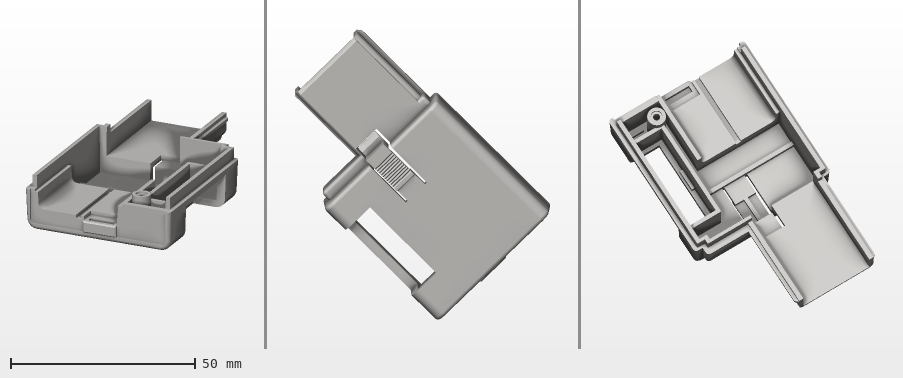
import cadquery as cq
import math

rim_z = 11.6
lip_z = 14.95
floor_z = 1.65
ledge_z = 10.9
channel_z = 6.1
tongue_z = 6.6
tongue_under_z = 5.0
tongue_wall_z = 12.6
cut_top_z = 20.0

box_width = 43.41
box_front_y = 0.15
box_back_y = 44.75
draft_angle = 1.9
side_radius = 2.9
end_radius = 1.0

lip_x0, lip_x1 = 1.2, 42.21
lip_thickness = 1.2
lip_front_y = 2.7
lip_back_y = 44.0
lip_back_thickness = 0.9
neck_lip_back_y = 45.5

tongue_mid_x = 15.15
tongue_end_y = 71.85
tongue_inner_half = 10.55
tongue_wall_half = 11.85
flange_half = 12.83
flange_thickness = 0.9
keel_height = 1.0
keel_setback = 1.2
tongue_curve_height = 1.9
tongue_chamfer = 1.0
keel_chamfer = 0.99

neck_x0, neck_x1 = tongue_mid_x - flange_half, 41.0
neck_back_y = 47.35
neck_lip_x1 = 39.8
cavity_back_y = lip_back_y - lip_back_thickness
shelf_front_y = 42.85

channel_mid_x = 15.55
channel_floor_half = 11.75
channel_top_half = 11.95
channel_radius = 1.7
channel_open_x0, channel_open_x1 = 2.64, 28.75
channel_back_y = 22.5
groove_x0, groove_x1 = 14.9, 16.4
groove_depth = 1.0

recess_margin = 1.5
recess_y = 0.95
recess_bottom_z = 1.7
recess_radius = 1.2
tab_x0, tab_x1 = 17.28, 27.22
tab_back_y = 5.45
tab_top_z = 5.0
tab_chamfer = 0.35
tab_slot_x0, tab_slot_x1 = 18.37, 25.95
tab_slot_y0, tab_slot_y1 = 1.4, 3.3
tab_slot_depth = 1.4

rib_y0, rib_y1 = 29.1, 30.25
rib_z = 3.1

latch_slot_x0 = 17.75
latch_slot_x1 = tongue_mid_x + tongue_inner_half
latch_slot_end_y = 49.7
latch_x0, latch_x1 = 18.5, 25.05
latch_end_y = 49.55
post_front_y, post_back_y = 44.3, 46.3
latch_top_z = 5.3
hook_under_z = 4.6
barb_y, barb_z = 47.9, 4.0
pad_back_y = 36.0
arm_top_z = 0.4
grip_front_y = 34.2
grip_z = -0.9
grip_radius = 0.4
stiffener_x0, stiffener_x1 = 21.15, 22.3
stiffener_radius = 1.6
tooth_count = 10
tooth_pitch = 0.75
tooth_depth = 0.55
teeth_front_y = 35.5

frame_x0 = 31.06
frame_y0, frame_y1 = 8.5, 38.35
frame_thickness = 1.1
window_x0 = 33.6
window_y0, window_y1 = 10.65, 36.2
window_top_z = 9.8
snap_y0, snap_y1 = 20.3, 26.5
snap_width = 0.9
snap_z = 3.0

boss_x, boss_y = 31.9, 6.6
boss_radius = 2.55
boss_z = 13.1
boss_counterbore_radius = 1.6
boss_counterbore_depth = 0.6
boss_hole_radius = 0.95
boss_hole_bottom_z = 3.0

bar_x0 = 35.0
bar_y0, bar_y1 = 4.0, 5.2
bar_z = 3.0
notch_y0, notch_y1 = 37.9, 42.0
notch_top_z = 13.5
notch_depth = 0.7
wall_overlap = 0.6


def block(x0, x1, y0, y1, z0, z1):
    return cq.Workplane("XY").box(x1 - x0, y1 - y0, z1 - z0, centered=False).translate((x0, y0, z0))


def drafted_block(x0, x1, y0, y1, z0, z1):
    """Block whose given plan size is at the top and whose walls lean in going down."""
    inset = (z1 - z0) * math.tan(math.radians(draft_angle))
    return (
        cq.Workplane("XY", origin=((x0 + x1) / 2, (y0 + y1) / 2, z0))
        .rect(x1 - x0 - 2 * inset, y1 - y0 - 2 * inset)
        .workplane(offset=z1 - z0)
        .rect(x1 - x0, y1 - y0)
        .loft(ruled=True)
    )


def extrude_along_y(points, y0, y1):
    """Extrude an XZ outline from y0 to y1."""
    return cq.Workplane("XZ", origin=(0, y0, 0)).polyline(points).close().extrude(y0 - y1)


def extrude_along_x(points, x0, x1):
    """Extrude a YZ outline from x0 to x1."""
    return cq.Workplane("YZ", origin=(x0, 0, 0)).polyline(points).close().extrude(x1 - x0)


def make_box():
    box = drafted_block(0, box_width, box_front_y, box_back_y, 0, rim_z)
    box = box.faces("<Z").edges("|Y").fillet(side_radius)
    return box.faces("<Z").edges("|X").fillet(end_radius)


def make_neck():
    neck = block(neck_x0, neck_x1, cavity_back_y - 1, neck_back_y, tongue_under_z, rim_z)
    neck = neck.edges("|Z and >Y").fillet(end_radius)
    return neck.faces("<Z").edges(">Y").fillet(end_radius)


def make_lip():
    inner_x0 = tongue_mid_x - tongue_wall_half
    main = block(lip_x0, lip_x1, lip_front_y, lip_back_y, floor_z, lip_z)
    neck = block(inner_x0, neck_lip_x1, lip_back_y - 1, neck_lip_back_y, tongue_z, lip_z)
    return main.union(neck)


def make_tongue():
    keel_top = tongue_under_z + keel_height
    keel_half = tongue_wall_half - keel_setback
    arc_top = keel_top + tongue_curve_height
    arc_radius = (keel_setback ** 2 + tongue_curve_height ** 2) / (2 * keel_setback)
    half_angle = math.asin(tongue_curve_height / arc_radius) / 2
    mid_inset = arc_radius * (1 - math.cos(half_angle))
    mid_z = arc_top - arc_radius * math.sin(half_angle)
    right = tongue_mid_x + tongue_wall_half
    left = tongue_mid_x - tongue_wall_half
    y0 = shelf_front_y
    tongue = (
        cq.Workplane("XZ", origin=(0, y0, 0))
        .moveTo(tongue_mid_x - keel_half, tongue_under_z)
        .lineTo(tongue_mid_x + keel_half, tongue_under_z)
        .lineTo(tongue_mid_x + keel_half, keel_top)
        .threePointArc((right - mid_inset, mid_z), (right, arc_top))
        .lineTo(right, tongue_wall_z)
        .lineTo(left, tongue_wall_z)
        .lineTo(left, arc_top)
        .threePointArc((left + mid_inset, mid_z), (tongue_mid_x - keel_half, keel_top))
        .close()
        .extrude(y0 - tongue_end_y)
    )
    tongue = tongue.faces("<Z").edges(">Y").chamfer(keel_chamfer)
    flange = block(
        tongue_mid_x - flange_half, tongue_mid_x + flange_half,
        y0, tongue_end_y, rim_z - flange_thickness, rim_z,
    )
    return tongue.union(flange.edges("|Z and >Y").chamfer(tongue_chamfer))


def cut_cavity(body):
    lip_lean = (lip_z - rim_z) * math.tan(math.radians(draft_angle))
    cavity = drafted_block(
        lip_x0 + lip_thickness, lip_x1 - lip_thickness,
        lip_front_y - lip_lean, cavity_back_y, floor_z, lip_z,
    )
    tongue_x0 = tongue_mid_x - tongue_inner_half
    tongue_x1 = tongue_mid_x + tongue_inner_half
    tongue_channel = block(tongue_x0, tongue_x1, shelf_front_y - 1, tongue_end_y, tongue_z, cut_top_z)
    neck_space = block(
        tongue_x1 - 1, neck_lip_x1 - lip_thickness,
        shelf_front_y - 1, neck_lip_back_y - lip_back_thickness, tongue_z, lip_z,
    )
    return body.cut(cavity).cut(tongue_channel).cut(neck_space)


def cut_front_recess(body):
    recess = block(
        recess_margin, box_width - recess_margin, -1, recess_y, recess_bottom_z, rim_z + 1,
    )
    return body.cut(recess.edges("|Y and <Z").fillet(recess_radius))


def add_channel(body):
    body = body.union(block(lip_x0 + 1, channel_open_x1, lip_front_y - 1, channel_back_y, floor_z - 1, ledge_z))
    trough = extrude_along_y(
        [
            (channel_mid_x - channel_top_half, ledge_z),
            (channel_mid_x - channel_floor_half, channel_z),
            (channel_mid_x + channel_floor_half, channel_z),
            (channel_mid_x + channel_top_half, ledge_z),
        ],
        0, channel_back_y,
    )
    trough = trough.faces("<Z").edges("|Y").fillet(channel_radius)
    opening = block(channel_open_x0, channel_open_x1, 0, channel_back_y, ledge_z, cut_top_z)
    groove = block(groove_x0, groove_x1, 0, channel_back_y, channel_z - groove_depth, ledge_z)
    return body.cut(trough).cut(opening).cut(groove)


def add_tab(body):
    body = body.cut(block(tab_x0, tab_x1, 0, tab_back_y, tab_top_z, cut_top_z))
    tab = block(tab_x0, tab_x1, 0, tab_back_y, recess_bottom_z, tab_top_z)
    body = body.union(tab.faces("<Y").edges().chamfer(tab_chamfer))
    slot_z = tab_top_z - tab_slot_depth
    return body.cut(block(tab_slot_x0, tab_slot_x1, tab_slot_y0, tab_slot_y1, slot_z, cut_top_z))


def add_cross_rib(body):
    x0 = lip_x0 + lip_thickness - wall_overlap
    return body.union(block(x0, frame_x0 + frame_thickness, rib_y0, rib_y1, floor_z - 1, rib_z))


def make_latch():
    latch = extrude_along_x(
        [
            (rib_y0, 0),
            (grip_front_y, 0),
            (grip_front_y, grip_z),
            (post_back_y, grip_z),
            (post_back_y, hook_under_z),
            (barb_y, hook_under_z),
            (barb_y, barb_z),
            (latch_end_y, tongue_under_z),
            (latch_end_y, latch_top_z),
            (post_front_y, latch_top_z),
            (post_front_y, arm_top_z),
            (pad_back_y, arm_top_z),
            (pad_back_y, floor_z),
            (rib_y0, floor_z),
        ],
        latch_x0, latch_x1,
    )
    latch = latch.faces("<Z").edges("<Y").fillet(grip_radius)
    bend = stiffener_radius * (1 - math.sqrt(0.5))
    stiffener = (
        cq.Workplane("YZ", origin=(stiffener_x0, 0, 0))
        .moveTo(pad_back_y, arm_top_z)
        .lineTo(pad_back_y, floor_z)
        .lineTo(post_front_y - stiffener_radius, floor_z)
        .threePointArc(
            (post_front_y - bend, floor_z + bend),
            (post_front_y, floor_z + stiffener_radius),
        )
        .lineTo(post_front_y, arm_top_z)
        .close()
        .extrude(stiffener_x1 - stiffener_x0)
    )
    latch = latch.union(stiffener)
    for index in range(tooth_count):
        y0 = teeth_front_y + index * tooth_pitch
        valley = [(y0, grip_z), (y0 + tooth_pitch / 2, grip_z + tooth_depth), (y0 + tooth_pitch, grip_z)]
        latch = latch.cut(extrude_along_x(valley, latch_x0, latch_x1))
    return latch


def add_latch(body):
    slot = block(latch_slot_x0, latch_slot_x1, rib_y1, latch_slot_end_y, -1, cut_top_z)
    return body.cut(slot).union(make_latch())


def add_window(body):
    frame_x1 = lip_x1 - lip_thickness + wall_overlap
    frame = block(frame_x0, frame_x1, frame_y0, frame_y1, floor_z, ledge_z)
    inside = block(
        frame_x0 + frame_thickness, frame_x1,
        frame_y0 + frame_thickness, frame_y1 - frame_thickness, floor_z, ledge_z,
    )
    snap = block(
        frame_x0 + frame_thickness, frame_x0 + frame_thickness + snap_width,
        snap_y0, snap_y1, floor_z, snap_z,
    )
    opening = block(window_x0, box_width + 1, window_y0, window_y1, -1, window_top_z)
    return body.union(frame.cut(inside)).union(snap).cut(opening)


def add_screw_boss(body):
    def cylinder(radius, z0, z1):
        return cq.Workplane("XY", origin=(boss_x, boss_y, z0)).circle(radius).extrude(z1 - z0)

    body = body.union(cylinder(boss_radius, floor_z, boss_z))
    body = body.cut(cylinder(boss_hole_radius, boss_hole_bottom_z, boss_z))
    return body.cut(cylinder(boss_counterbore_radius, boss_z - boss_counterbore_depth, boss_z))


def add_floor_bar(body):
    bar_x1 = lip_x1 - lip_thickness
    return body.union(block(bar_x0, bar_x1, bar_y0, bar_y1, floor_z - 1, bar_z))


def cut_lip_notch(body):
    return body.cut(block(lip_x0, lip_x0 + notch_depth, notch_y0, notch_y1, rim_z, notch_top_z))


body = make_box().union(make_neck()).union(make_lip()).union(make_tongue())
body = cut_cavity(body)
body = cut_front_recess(body)
body = add_channel(body)
body = add_tab(body)
body = add_cross_rib(body)
body = add_latch(body)
body = add_window(body)
body = add_screw_boss(body)
body = add_floor_bar(body)
result = cut_lip_notch(body)